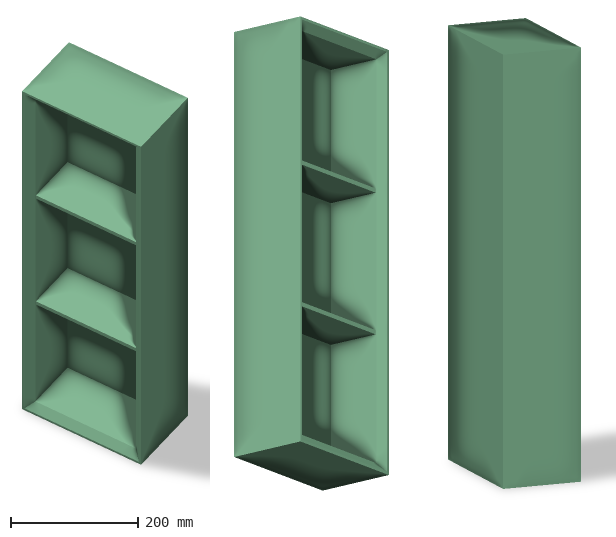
import cadquery as cq

WIDTH = 225.0
DEPTH = 132.0
HEIGHT = 700.0

WALL = 17.5
RIM = 4.0
BEVEL_DEPTH = 11.0

COMPARTMENT_DEPTH = 91.0
SHELF_THICKNESS = 7.0
SHELF_SETBACK = 1.5
SHELF_COUNT = 2

FRONT_Y = -DEPTH / 2
BACK_Y = DEPTH / 2
BEVEL_END_Y = FRONT_Y + BEVEL_DEPTH
PANEL_FRONT_Y = BEVEL_END_Y + COMPARTMENT_DEPTH
SHELF_FRONT_Y = BEVEL_END_Y + SHELF_SETBACK

OPENING_WIDTH = WIDTH - 2 * WALL
OPENING_HEIGHT = HEIGHT - 2 * WALL
SHELF_PITCH = HEIGHT / (SHELF_COUNT + 1)


def block(width, height, start_y, end_y, center_z=0.0):
    """Box centred in X, running from start_y to end_y."""
    center_y = (start_y + end_y) / 2
    return cq.Workplane("XY").box(width, end_y - start_y, height).translate((0, center_y, center_z))


def bevel_cutter():
    """Four-sided taper, from the thin front rim down to the straight opening."""
    return (
        cq.Workplane("XZ", origin=(0, FRONT_Y, 0))
        .rect(WIDTH - 2 * RIM, HEIGHT - 2 * RIM)
        .workplane(offset=-BEVEL_DEPTH)
        .rect(OPENING_WIDTH, OPENING_HEIGHT)
        .loft(ruled=True)
    )


def make_frame():
    """Four walls around an opening that passes through from front to back."""
    walls = block(WIDTH, HEIGHT, FRONT_Y, BACK_Y)
    opening = block(OPENING_WIDTH, OPENING_HEIGHT, FRONT_Y, BACK_Y)
    return walls.cut(opening).cut(bevel_cutter())


def make_back_panel():
    """Panel that closes the rear of the opening, flush with the back of the frame."""
    return block(OPENING_WIDTH, OPENING_HEIGHT, PANEL_FRONT_Y, BACK_Y)


def make_shelf(center_z):
    """Shelf between the side walls, resting against the back panel."""
    return block(OPENING_WIDTH, SHELF_THICKNESS, SHELF_FRONT_Y, PANEL_FRONT_Y, center_z)


frame = make_frame()
back_panel = make_back_panel()

shelves = []
for index in range(SHELF_COUNT):
    shelf_z = (index - (SHELF_COUNT - 1) / 2) * SHELF_PITCH
    shelves.append(make_shelf(shelf_z).val())

result = cq.Compound.makeCompound([frame.val(), back_panel.val(), *shelves])